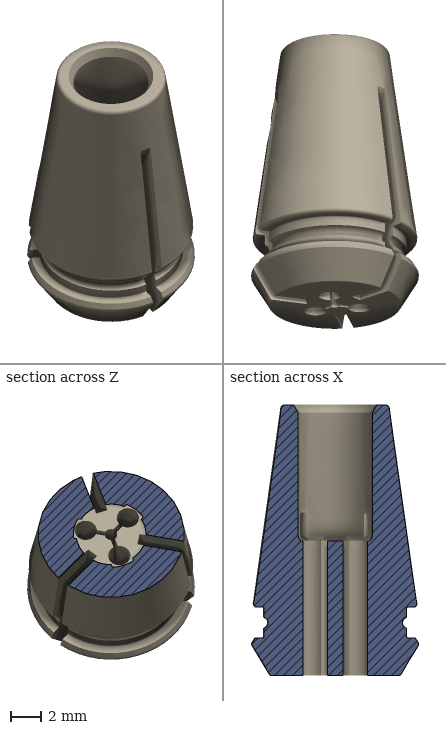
import cadquery as cq
import math

height = 18.0
base_radius = 4.37
rim_radius = 5.571
rim_bottom_z = 2.0
rim_top_z = 2.16
flange_top_z = 2.5
flange_top_radius = 5.36
neck_radius = 4.79
neck_fillet = 0.09
base_fillet = 0.09

groove_bottom_z = 3.15
groove_top_z = 3.85
groove_root_radius = 4.52

body_bottom_z = 4.54
body_bottom_radius = 5.3
cone_start_z = 4.86
cone_start_radius = 5.45
body_edge_mid = (5.44, 4.65)
taper_angle = 8.0
top_fillet = 0.29

bore_radius = 5.0 / 2
mouth_radius = 2.8
mouth_angle = 30.0
mouth_depth = (mouth_radius - bore_radius) / math.tan(math.radians(mouth_angle))
floor_z = 8.95
floor_fillet = 0.4
floor_radius = bore_radius - floor_fillet

center_hole_radius = 0.41
side_hole_radius = 0.74
side_hole_offset = 1.71
slit_width = 0.3

slot_count = 3
slot_spacing = 360 / slot_count
slot_width = 0.8
slot_root_radius = 1.85
slot_top_z = 14.49
runout_angle = 23.5
cut_margin = 0.9
seam_angle = 25.0
edge_tolerance = 0.02


def cone_radius(z):
    """Radius of the tapered body at height z."""
    return cone_start_radius - (z - cone_start_z) * math.tan(math.radians(taper_angle))


def edge_box(z):
    """Selector for the circular edges lying at height z."""
    reach = rim_radius + edge_tolerance
    return cq.selectors.BoxSelector((-reach, -reach, z - edge_tolerance), (reach, reach, z + edge_tolerance))


def make_body():
    groove_middle_z = (groove_bottom_z + groove_top_z) / 2
    profile = (
        cq.Workplane("XZ")
        .lineTo(base_radius, 0)
        .lineTo(rim_radius, rim_bottom_z)
        .lineTo(rim_radius, rim_top_z)
        .lineTo(flange_top_radius, flange_top_z)
        .lineTo(neck_radius, flange_top_z)
        .lineTo(neck_radius, groove_bottom_z)
        .threePointArc((groove_root_radius, groove_middle_z), (neck_radius, groove_top_z))
        .lineTo(neck_radius, body_bottom_z)
        .lineTo(body_bottom_radius, body_bottom_z)
        .threePointArc(body_edge_mid, (cone_start_radius, cone_start_z))
        .lineTo(cone_radius(height), height)
        .lineTo(0, height)
        .close()
    )
    body = profile.revolve(360, (0, 0), (0, 1))
    body = body.faces(">Z").edges().fillet(top_fillet)
    body = body.faces("<Z").edges().fillet(base_fillet)
    inner_corner = cq.selectors.RadiusNthSelector(0)
    for corner_z in (flange_top_z, body_bottom_z):
        body = body.edges(edge_box(corner_z)).edges(inner_corner).fillet(neck_fillet)
    return body.rotate((0, 0, 0), (0, 0, 1), seam_angle)


def make_bore():
    """Bore with a chamfered mouth and a fillet around its flat floor."""
    profile = (
        cq.Workplane("XZ")
        .moveTo(0, floor_z)
        .lineTo(floor_radius, floor_z)
        .radiusArc((bore_radius, floor_z + floor_fillet), -floor_fillet)
        .lineTo(bore_radius, height - mouth_depth)
        .lineTo(mouth_radius, height)
        .lineTo(0, height)
        .close()
    )
    return profile.revolve(360, (0, 0), (0, 1)).rotate((0, 0, 0), (0, 0, 1), seam_angle)


def make_floor_opening():
    """Side hole on the -X side, its slit to the axis and its relief in the floor fillet."""
    hole = cq.Workplane("XY").center(-side_hole_offset, 0).circle(side_hole_radius).extrude(floor_z)
    slit = cq.Workplane("XY").center(-side_hole_offset / 2, 0)
    slit = slit.rect(side_hole_offset, slit_width).extrude(floor_z)
    relief = cq.Workplane("XY", origin=(-bore_radius / 2, 0, floor_z))
    relief = relief.rect(bore_radius, 2 * side_hole_radius).extrude(floor_fillet)
    bore_limit = cq.Workplane("XY").circle(bore_radius).extrude(height)
    return hole.union(slit).union(relief.intersect(bore_limit))


def make_saw_slot():
    """Slot on the +X side, open at the base, whose root slopes out to the cone surface."""
    outer_radius = rim_radius + cut_margin
    slope = math.tan(math.radians(runout_angle))
    top_radius = cone_radius(slot_top_z)
    runout_start_z = slot_top_z - (top_radius - slot_root_radius) / slope
    runout_end_z = slot_top_z + (outer_radius - top_radius) / slope
    return (
        cq.Workplane("XZ")
        .moveTo(slot_root_radius, 0)
        .lineTo(outer_radius, 0)
        .lineTo(outer_radius, runout_end_z)
        .lineTo(slot_root_radius, runout_start_z)
        .close()
        .extrude(slot_width / 2, both=True)
    )


center_hole = cq.Workplane("XY").circle(center_hole_radius).extrude(floor_z)
inner_cut = make_bore().union(center_hole)
floor_opening = make_floor_opening()
saw_slot = make_saw_slot()
result = make_body()
for index in range(slot_count):
    angle = index * slot_spacing
    inner_cut = inner_cut.union(floor_opening.rotate((0, 0, 0), (0, 0, 1), angle))
    result = result.cut(saw_slot.rotate((0, 0, 0), (0, 0, 1), angle))
result = result.cut(inner_cut)